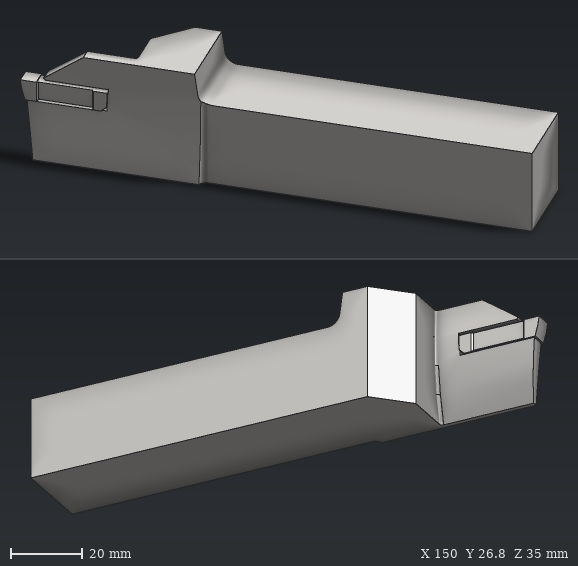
import cadquery as cq
import math

LENGTH = 150.0
DEPTH = 26.8
SHANK_WIDTH = 25.0
SHANK_HEIGHT = 25.0
SHANK_FRONT = DEPTH - SHANK_WIDTH

HEAD_HEIGHT = 35.0
SHOULDER_TOP_X = 51.2
SHOULDER_FOOT_X = 52.5
SHOULDER_RADIUS = 3.9
SHANK_RELIEF_X = 52.6
SHANK_RELIEF_RADIUS = 2.2
WALL_X = 33.2
WALL_BEVEL = 10.0
WALL_FILLET = 0.9

BLADE_TIP_X = 1.8
BLADE_FOOT_X = 3.8
CREST_Z = SHANK_HEIGHT
FRONT_CREST_Y = 0.8
BACK_CREST_Y = 5.1
BACK_FOOT_Y = 1.6

SLOT_TOP = 25.8
SLOT_END_X = 25.8
FINGER_TIP_X = 6.8
FINGER_TIP_Z = 26.4
FINGER_UNDER_X = 7.4
FINGER_RAMP_END_X = 18.5

SEAT_Z = 18.9
SEAT_CORNER_X = 25.4
INSERT_TOP = SHANK_HEIGHT
INSERT_FRONT_Y = 0.2
INSERT_BACK_Y = 5.4
INSERT_END_X = 25.6
INSERT_CORNER = 1.5
EDGE_LAND_Z = 22.2
EDGE_LAND_X = 0.5
INSERT_FOOT_X = 1.2
NOSE_FOOT_Z = 19.5
CHIP_STEP = 0.2
WAIST_START_X = 4.8
WAIST_END_X = 21.6
WAIST_DEPTH = 0.52


def extrude_along_y(points, start, end):
    """Extrude an XZ outline from Y = start to Y = end."""
    outline = cq.Workplane("XZ", origin=(0, start, 0)).polyline(points).close()
    return outline.extrude(start - end)


def lengthwise_cylinder(crest_y, drop):
    """Cylinder along X whose +Y crest is at CREST_Z and falls by drop at Z = 0."""
    radius = (CREST_Z**2 + drop**2) / (2 * drop)
    return (
        cq.Workplane("YZ")
        .center(crest_y - radius, CREST_Z)
        .circle(radius)
        .extrude(LENGTH)
    )


def make_body():
    """Head, blade and shank in one outline, with the shoulder rounded into the shank."""
    body = extrude_along_y(
        [
            (BLADE_FOOT_X, 0),
            (BLADE_TIP_X, SEAT_Z),
            (SEAT_CORNER_X, SEAT_Z),
            (INSERT_END_X, INSERT_TOP),
            (SLOT_END_X, INSERT_TOP),
            (SLOT_END_X, SLOT_TOP),
            (FINGER_UNDER_X, SLOT_TOP),
            (FINGER_TIP_X, FINGER_TIP_Z),
            (FINGER_RAMP_END_X, HEAD_HEIGHT),
            (SHOULDER_TOP_X, HEAD_HEIGHT),
            (SHOULDER_FOOT_X, SHANK_HEIGHT),
            (LENGTH, SHANK_HEIGHT),
            (LENGTH, 0),
        ],
        0,
        DEPTH,
    )
    shoulder = cq.selectors.BoxSelector(
        (SHOULDER_FOOT_X - 0.2, 0, SHANK_HEIGHT - 0.2),
        (SHOULDER_FOOT_X + 0.2, DEPTH, SHANK_HEIGHT + 0.2),
    )
    return body.edges(shoulder).fillet(SHOULDER_RADIUS)


def make_shank_relief():
    """Space in front of the shank, ending in a hollow curve tangent to the shank side."""
    rise = SHANK_RELIEF_RADIUS - SHANK_FRONT
    curve_run = math.sqrt(SHANK_RELIEF_RADIUS**2 - rise**2)
    curve_end = (SHANK_RELIEF_X + curve_run, SHANK_FRONT)
    return (
        cq.Workplane("XY")
        .moveTo(SHANK_RELIEF_X, 0)
        .lineTo(LENGTH, 0)
        .lineTo(LENGTH, SHANK_FRONT)
        .lineTo(*curve_end)
        .radiusArc((SHANK_RELIEF_X, 0), -SHANK_RELIEF_RADIUS)
        .close()
        .extrude(HEAD_HEIGHT)
    )


def make_side_relief():
    """Space behind the blade, rounded where it meets the thick head."""
    relief = (
        cq.Workplane("XY")
        .polyline(
            [
                (0, 0),
                (WALL_X, 0),
                (WALL_X, DEPTH - WALL_BEVEL),
                (WALL_X + WALL_BEVEL, DEPTH),
                (0, DEPTH),
            ]
        )
        .close()
        .extrude(HEAD_HEIGHT)
        .cut(lengthwise_cylinder(BACK_CREST_Y, BACK_CREST_Y - BACK_FOOT_Y))
    )
    root_edge = cq.selectors.BoxSelector(
        (WALL_X - 0.2, 0, 0), (WALL_X + 0.2, BACK_CREST_Y + 0.2, HEAD_HEIGHT)
    )
    return relief.edges(root_edge).fillet(WALL_FILLET)


def make_holder():
    holder = make_body()
    holder = holder.cut(make_shank_relief())
    holder = holder.cut(lengthwise_cylinder(FRONT_CREST_Y, FRONT_CREST_Y))
    return holder.cut(make_side_relief())


def waist_outline(depth):
    """XZ corners of the waist recess, inset by depth at the ends and bottom."""
    start = WAIST_START_X + depth
    end = WAIST_END_X - depth
    return [(start, SEAT_Z + depth), (end, SEAT_Z + depth), (end, INSERT_TOP), (start, INSERT_TOP)]


def make_waist_recess(face_y, inward):
    """Recess with sloped borders, sunk from face_y in the inward direction (+1 or -1)."""
    wires = []
    for depth in (0, WAIST_DEPTH):
        y = face_y + inward * depth
        points = [cq.Vector(x, y, z) for x, z in waist_outline(depth)]
        wires.append(cq.Wire.makePolygon(points, close=True))
    return cq.Workplane(cq.Solid.makeLoft(wires, True))


def make_insert():
    rear_slope = (INSERT_END_X - SEAT_CORNER_X) / (INSERT_TOP - SEAT_Z)
    rear_top_x = INSERT_END_X - rear_slope * CHIP_STEP
    insert = extrude_along_y(
        [
            (0, INSERT_TOP),
            (EDGE_LAND_X, EDGE_LAND_Z),
            (INSERT_FOOT_X, NOSE_FOOT_Z),
            (INSERT_FOOT_X, SEAT_Z),
            (SEAT_CORNER_X - INSERT_CORNER, SEAT_Z),
            (SEAT_CORNER_X + rear_slope * INSERT_CORNER, SEAT_Z + INSERT_CORNER),
            (rear_top_x, INSERT_TOP - CHIP_STEP),
            (WAIST_START_X, INSERT_TOP - CHIP_STEP),
            (WAIST_START_X, INSERT_TOP),
        ],
        INSERT_FRONT_Y,
        INSERT_BACK_Y,
    )
    for face_y, inward in ((INSERT_FRONT_Y, 1), (INSERT_BACK_Y, -1)):
        insert = insert.cut(make_waist_recess(face_y, inward))
    return insert


holder = make_holder()
insert = make_insert()
result = cq.Compound.makeCompound([holder.solids().val(), insert.solids().val()])